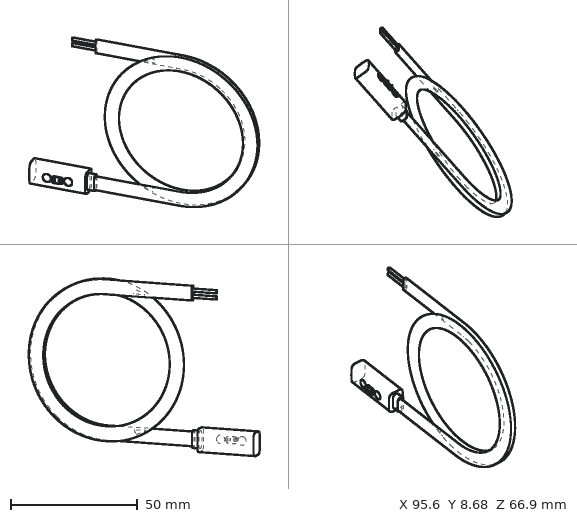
import cadquery as cq

cable_width = 6.0
cable_thickness = 2.0
coil_radius = 29.6
coil_turns = 1.5
coil_end_y = -cable_thickness / 2
coil_start_y = -4.2
coil_rise = coil_end_y - coil_start_y
tail_length = 36.9

wire_diameter = 1.35
wire_spacing = 2.5
wire_length = 10.1

body_left_x = -63.01
body_length = 24.0
body_height = 9.48
body_back_y = -0.2
body_front_y = -7.25
parting_y = -3.7
face_crown = 0.25
side_draft = 0.08
corner_radius = 1.8
left_end_draft = 0.08
right_end_draft = 0.18
body_right_x = body_left_x + body_length
body_z = -coil_radius

collar_length = 2.9
collar_height = 7.2
collar_thickness = 3.1
collar_y = -3.85

disc_diameter = 3.5
disc_positions = (7.6, 16.65)
disc_depth = 0.5
plate_position = 12.1
plate_length = 5.1
plate_height = 2.8
plate_front_y = -7.8
lamp_radius = 0.55
lamp_spacing = 2.6
lamp_tip_y = -8.68


def flat_bar(x_start, length, y, z, width, thickness):
    """Bar along X with a round-edged flat section, wide in Z and thin in Y."""
    plane = cq.Plane(origin=(x_start, y, z), xDir=(0, 0, 1), normal=(1, 0, 0))
    return cq.Workplane(plane).slot2D(width, thickness).extrude(length)


def make_coil():
    """Left-handed helical sweep from the bottom of the loop to its top."""
    pitch = coil_rise / coil_turns
    helix = cq.Wire.makeHelix(pitch, coil_rise, coil_radius, lefthand=True)
    section_plane = cq.Plane(origin=(coil_radius, 0, 0), xDir=(1, 0, 0), normal=(0, -1, 0))
    coil = (
        cq.Workplane(section_plane)
        .slot2D(cable_width, cable_thickness)
        .sweep(cq.Workplane(helix), isFrenet=True)
    )
    coil_plane = cq.Plane(origin=(0, coil_start_y, 0), xDir=(0, 0, -1), normal=(0, 1, 0))
    return cq.Workplane(coil.val().moved(coil_plane.location))


def make_cable():
    """Coil with the straight lead into the collar and the straight free tail."""
    lead = flat_bar(body_right_x, -body_right_x, coil_start_y, -coil_radius, cable_width, cable_thickness)
    tail = flat_bar(-tail_length, tail_length, coil_end_y, coil_radius, cable_width, cable_thickness)
    return make_coil().union(lead).union(tail)


def make_wires():
    """Two bare wires that project from the free end of the tail."""
    plane = cq.Plane(origin=(-tail_length, coil_end_y, coil_radius), xDir=(0, 0, 1), normal=(-1, 0, 0))
    return (
        cq.Workplane(plane)
        .pushPoints([(-wire_spacing / 2, 0), (wire_spacing / 2, 0)])
        .circle(wire_diameter / 2)
        .extrude(wire_length)
    )


def make_body():
    """Rounded block with crowned front and back and a peaked parting line on its sides."""
    half_height = body_height / 2
    edge_half = half_height - side_draft
    back_edge_y = body_back_y - face_crown
    front_edge_y = body_front_y + face_crown
    plane = cq.Plane(origin=(body_left_x, 0, body_z), xDir=(0, 1, 0), normal=(1, 0, 0))
    block = (
        cq.Workplane(plane)
        .moveTo(parting_y, half_height)
        .lineTo(back_edge_y, edge_half)
        .threePointArc((body_back_y, 0), (back_edge_y, -edge_half))
        .lineTo(parting_y, -half_height)
        .lineTo(front_edge_y, -edge_half)
        .threePointArc((body_front_y, 0), (front_edge_y, edge_half))
        .close()
        .extrude(body_length)
    )
    block = block.edges("|X").edges("<Y or >Y").fillet(corner_radius)
    return block.intersect(make_end_envelope())


def make_end_envelope():
    """Prism along Z whose two ends peak at the parting line and taper to front and back."""
    left_taper_x = body_left_x + left_end_draft
    right_taper_x = body_right_x - right_end_draft
    return (
        cq.Workplane("XY", origin=(0, 0, body_z - body_height))
        .moveTo(body_left_x, parting_y)
        .lineTo(left_taper_x, body_back_y)
        .lineTo(right_taper_x, body_back_y)
        .lineTo(body_right_x, parting_y)
        .lineTo(right_taper_x, body_front_y)
        .lineTo(left_taper_x, body_front_y)
        .close()
        .extrude(2 * body_height)
    )


def front_plane(position, y):
    """Plane facing -Y on the body's centre line, at a distance from its left end."""
    return cq.Workplane(cq.Plane(origin=(body_left_x + position, y, body_z), xDir=(1, 0, 0), normal=(0, -1, 0)))


def make_front_details():
    """Flat discs level with the crown, and a plate that carries two domed lamps."""
    inner_y = body_front_y + disc_depth
    plate = front_plane(plate_position, inner_y).slot2D(plate_length, plate_height)
    details = plate.extrude(inner_y - plate_front_y)
    for position in disc_positions:
        disc = front_plane(position, inner_y).circle(disc_diameter / 2).extrude(disc_depth)
        details = details.union(disc)
    dome_y = lamp_tip_y + lamp_radius
    for offset in (-lamp_spacing / 2, lamp_spacing / 2):
        position = plate_position + offset
        stem = front_plane(position, inner_y).circle(lamp_radius).extrude(inner_y - dome_y)
        dome = front_plane(position, dome_y).sphere(lamp_radius)
        details = details.union(stem).union(dome)
    return details


collar = flat_bar(body_right_x - right_end_draft, collar_length + right_end_draft, collar_y, body_z,
                  collar_height, collar_thickness)

body = make_body().union(make_front_details())
result = body.union(collar).union(make_cable()).union(make_wires())